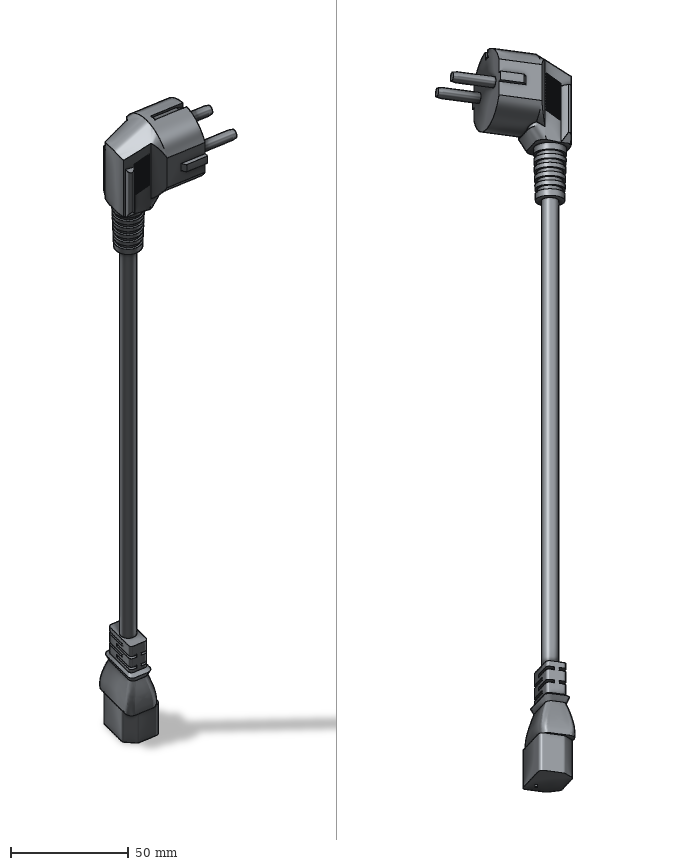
import cadquery as cq
import math


OVERLAP = 1.0

total_top = 332.0
back_y = -7.71

disc_radius = 18.0
disc_z = total_top - disc_radius
disc_half_width = 16.0
front_y = 28.71
disc_back_y = 9.4

rear_drop = 8.5
plug_bottom_z = 291.0
waist_half_width = 9.4
waist_y = 5.6
spine_half_width = 7.3
spine_flat_half_width = 2.6
spine_side_y = -7.0
spine_bulge = 0.72
chin_y = 12.0
chin_bottom_y = 8.5
chin_radius = 4.0

shoulder_half_width = 10.8
shoulder_bottom_z = 295.0
shoulder_top_z = 317.0
shoulder_front_y = -2.0
shoulder_side_y = -4.5
shoulder_back_y = -6.2
shoulder_radius = 1.5
shoulder_taper = 2.5

groove_count = 14
groove_pitch = 1.25
groove_width = 0.6
groove_depth = 0.5
groove_front_y = 4.9
first_groove_z = 304.7

wing_height = 4.0
wing_tip_y = 18.2
wing_root_y = 16.5

pin_diameter = 4.8
pin_spacing = 19.0
pin_length = 19.0
pin_nose_length = 2.0
pin_nose_diameter = 4.0
clip_width = 3.0
clip_back_y = 12.6
clip_nose_y = 25.4
clip_depth = 1.2
clip_thickness = 2.4
clip_nose_drop = 1.9

relief_bottom_z = 267.0
relief_top_radius = 7.1
relief_bottom_radius = 6.3
relief_groove_depth = 1.0
relief_groove_count = 5
relief_groove_width = 2.0
relief_groove_pitch = 4.0
first_relief_groove_z = 288.0

cable_diameter = 7.5

socket_height = 17.2
socket_half_width = 11.6
socket_front_y = 8.7
socket_front_radius = 2.0
socket_key_x = 7.5
socket_key_y = -2.5
socket_key_radius = 2.2
neck_top_z = 52.0
neck_width = 17.4
neck_depth = 9.0
neck_radius = 1.6

hood_sections = (
    (socket_height, 25.4, 15.2, 3.2),
    (24.0, 24.4, 14.4, 3.0),
    (33.3, 19.4, 9.2, 2.5),
)
flange_sections = (
    hood_sections[-1],
    (36.1, 21.4, 11.4, 2.5),
    (37.4, neck_width, neck_depth, neck_radius),
)

neck_bottom_z = hood_sections[-1][0]
slit_count = 4
slit_height = 1.3
slit_pitch = 3.0
top_slit_z = 48.8
slit_end_x = 2.2
slit_web = 2.2
nub_x = 5.0
nub_y = 4.5
nub_radius = 0.6
nub_height = 1.0


def prism_xy(outline, bottom_z, top_z):
    """Closed XY outline extruded from bottom_z to top_z."""
    return cq.Workplane("XY", origin=(0, 0, bottom_z)).polyline(outline).close().extrude(top_z - bottom_z)


def prism_yz(outline, half_width):
    """Closed YZ outline extruded to both sides of x = 0."""
    return cq.Workplane("YZ").polyline(outline).close().extrude(half_width, both=True)


def block(x_range, y_range, z_range):
    """Box given by its limits on each axis."""
    sizes = [high - low for low, high in (x_range, y_range, z_range)]
    corner = (x_range[0], y_range[0], z_range[0])
    return cq.Workplane("XY", origin=corner).box(*sizes, centered=False)


def rod_y(radius, x, z, y_start, y_end):
    """Round rod along Y."""
    return cq.Workplane("XZ", origin=(x, y_start, z)).circle(radius).extrude(y_start - y_end)


def both_sides(solid):
    """The solid joined with its mirror image across x = 0."""
    return solid.union(solid.mirror("YZ"))


def plug_disc():
    disc = rod_y(disc_radius, 0, disc_z, disc_back_y, front_y)
    flats = block(
        (-disc_half_width, disc_half_width), (disc_back_y, front_y), (disc_z - disc_radius, total_top)
    )
    wing_outline = [
        (0, front_y),
        (disc_radius, front_y),
        (disc_radius, wing_tip_y),
        (disc_half_width, wing_root_y),
        (0, wing_root_y),
    ]
    wing = prism_xy(wing_outline, disc_z - wing_height / 2, disc_z + wing_height / 2)
    return disc.intersect(flats.union(both_sides(wing)))


def oblique_top():
    """Slanted cylinder whose upper half forms the rounded, sloping top of the plug rear."""
    start = cq.Workplane("XZ", origin=(0, disc_back_y, disc_z)).circle(disc_radius)
    end = start.workplane(offset=disc_back_y - back_y).center(0, -rear_drop).circle(disc_radius)
    return end.loft(ruled=True)


def chin():
    """Lower half of the plug rear, sloping in from the disc to the flat bottom."""
    outline = [
        (chin_y, disc_z - disc_radius),
        (chin_bottom_y, plug_bottom_z),
        (back_y, plug_bottom_z),
        (back_y, disc_z),
        (chin_y, disc_z),
    ]
    return prism_yz(outline, disc_half_width)


def trunk_prism():
    """Narrow waist tapering to a rounded spine at the back, at full plug height."""
    bulge_x = (spine_half_width + spine_flat_half_width) / 2
    bulge_y = spine_side_y + spine_bulge * (back_y - spine_side_y)
    return (
        cq.Workplane("XY", origin=(0, 0, plug_bottom_z))
        .moveTo(-waist_half_width, chin_y)
        .lineTo(-waist_half_width, waist_y)
        .lineTo(-spine_half_width, spine_side_y)
        .threePointArc((-bulge_x, bulge_y), (-spine_flat_half_width, back_y))
        .lineTo(spine_flat_half_width, back_y)
        .threePointArc((bulge_x, bulge_y), (spine_half_width, spine_side_y))
        .lineTo(waist_half_width, waist_y)
        .lineTo(waist_half_width, chin_y)
        .close()
        .extrude(total_top - plug_bottom_z)
    )


def wedge_prism():
    """Sloping faces that lead from the flats of the disc in to the waist."""
    plan = [
        (-disc_half_width, disc_back_y),
        (-waist_half_width, waist_y),
        (waist_half_width, waist_y),
        (disc_half_width, disc_back_y),
    ]
    return prism_xy(plan, plug_bottom_z, total_top)


def plug_rear():
    trunk = trunk_prism()
    wedge = wedge_prism()
    front_corners = cq.selectors.BoxSelector(
        (-disc_half_width, chin_bottom_y - OVERLAP, plug_bottom_z),
        (disc_half_width, chin_y + OVERLAP, disc_z),
    )
    lower_trunk = trunk.intersect(chin()).edges(front_corners).edges("not #Z").fillet(chin_radius)
    lower_disc = rod_y(disc_radius, 0, disc_z, waist_y, disc_back_y)
    lower_half = block(
        (-disc_radius, disc_radius), (waist_y, disc_back_y), (disc_z - disc_radius, disc_z)
    )
    upper = trunk.union(wedge).intersect(oblique_top())
    return upper.union(lower_trunk).union(wedge.intersect(lower_disc).intersect(lower_half))


def shoulder():
    inner_x = spine_half_width - OVERLAP
    arc_shift = shoulder_radius * (1 - math.sqrt(0.5))
    body = (
        cq.Workplane("XY", origin=(0, 0, plug_bottom_z))
        .moveTo(inner_x, shoulder_front_y)
        .lineTo(spine_half_width + OVERLAP, shoulder_front_y)
        .lineTo(shoulder_half_width, shoulder_side_y)
        .lineTo(shoulder_half_width, shoulder_back_y + shoulder_radius)
        .threePointArc(
            (shoulder_half_width - arc_shift, shoulder_back_y + arc_shift),
            (shoulder_half_width - shoulder_radius, shoulder_back_y),
        )
        .lineTo(inner_x, shoulder_back_y)
        .close()
        .extrude(shoulder_top_z - plug_bottom_z)
    )
    side_outline = [
        (0, plug_bottom_z),
        (shoulder_half_width - shoulder_taper, plug_bottom_z),
        (shoulder_half_width, shoulder_bottom_z),
        (shoulder_half_width, shoulder_top_z),
        (0, shoulder_top_z),
    ]
    limit = cq.Workplane("XZ").polyline(side_outline).close().extrude(-back_y)
    return both_sides(body.intersect(limit))


def grip_grooves():
    """Slanted grooves, parallel to the sloping top, that follow the tapered waist walls."""
    slope = rear_drop / (disc_back_y - back_y)
    taper = (waist_half_width - spine_half_width) / (waist_y - spine_side_y)
    groove_run = groove_front_y - shoulder_front_y
    drop = slope * groove_run
    outer_x = waist_half_width + OVERLAP
    floor_front_x = waist_half_width - taper * (waist_y - groove_front_y) - groove_depth
    floor_back_x = floor_front_x - taper * groove_run
    plan = [
        (outer_x, groove_front_y),
        (floor_front_x, groove_front_y),
        (floor_back_x, shoulder_front_y),
        (outer_x, shoulder_front_y),
    ]
    region = prism_xy(plan, first_groove_z - drop - OVERLAP, total_top)
    grooves = None
    for index in range(groove_count):
        front_z = first_groove_z + index * groove_pitch
        outline = [
            (groove_front_y, front_z),
            (shoulder_front_y, front_z - drop),
            (shoulder_front_y, front_z - drop + groove_width),
            (groove_front_y, front_z + groove_width),
        ]
        groove = prism_yz(outline, outer_x).intersect(region)
        grooves = groove if grooves is None else grooves.union(groove)
    return both_sides(grooves)


def strain_relief():
    length = plug_bottom_z - relief_bottom_z
    shrink = (relief_top_radius - relief_bottom_radius) / length

    def radius_at(z):
        return relief_top_radius - shrink * (plug_bottom_z - z)

    outline = [(0, plug_bottom_z + OVERLAP), (radius_at(plug_bottom_z), plug_bottom_z + OVERLAP)]
    for index in range(relief_groove_count):
        top = first_relief_groove_z - index * relief_groove_pitch
        bottom = top - relief_groove_width
        outline.append((radius_at(top), top))
        outline.append((radius_at(top) - relief_groove_depth, top))
        outline.append((radius_at(bottom) - relief_groove_depth, bottom))
        outline.append((radius_at(bottom), bottom))
    outline.append((relief_bottom_radius, relief_bottom_z))
    outline.append((0, relief_bottom_z))
    return cq.Workplane("XZ").polyline(outline).close().revolve(360, (0, 0, 0), (0, 1, 0))


def clip_slot():
    floor_z = total_top - clip_depth - clip_thickness
    return block(
        (-clip_width / 2, clip_width / 2), (clip_back_y, front_y + OVERLAP), (floor_z, total_top + OVERLAP)
    )


def make_housing():
    body = plug_disc().union(plug_rear()).cut(grip_grooves())
    return body.union(shoulder()).union(strain_relief()).cut(clip_slot())


def make_pin(x):
    nose_y = front_y + pin_length - pin_nose_length
    shank = rod_y(pin_diameter / 2, x, disc_z, front_y, nose_y)
    nose = (
        cq.Workplane("XZ", origin=(x, nose_y, disc_z))
        .circle(pin_diameter / 2)
        .workplane(offset=-pin_nose_length)
        .circle(pin_nose_diameter / 2)
        .loft(ruled=True)
    )
    return shank.union(nose)


def make_earth_clip():
    top_z = total_top - clip_depth
    outline = [
        (clip_back_y, top_z - clip_thickness),
        (clip_back_y, top_z),
        (clip_nose_y, top_z),
        (front_y, top_z - clip_nose_drop),
        (front_y, top_z - clip_thickness),
    ]
    return prism_yz(outline, clip_width / 2)


def make_cable():
    return (
        cq.Workplane("XY", origin=(0, 0, neck_top_z))
        .circle(cable_diameter / 2)
        .extrude(relief_bottom_z - neck_top_z)
    )


def socket_block():
    outline = [
        (-socket_half_width, socket_front_y),
        (-socket_half_width, socket_key_y),
        (-socket_key_x, back_y),
        (socket_key_x, back_y),
        (socket_half_width, socket_key_y),
        (socket_half_width, socket_front_y),
    ]
    body = prism_xy(outline, 0, socket_height)
    body = body.edges("|Z").edges(">Y").fillet(socket_front_radius)
    key_edges = body.edges(
        cq.selectors.BoxSelector(
            (-socket_half_width - OVERLAP, back_y - OVERLAP, 0),
            (socket_half_width + OVERLAP, socket_key_y + OVERLAP / 2, socket_height),
        )
    ).edges("|Z")
    return key_edges.fillet(socket_key_radius)


def sleeve(sections, ruled):
    """Loft through rounded rectangles centred on the cable axis."""
    outlines = []
    for height, width, depth, radius in sections:
        outline = cq.Sketch().rect(width, depth).vertices().fillet(radius)
        outlines.append(outline.moved(cq.Location(cq.Vector(0, 0, height))))
    return cq.Workplane("XY").placeSketch(*outlines).loft(ruled=ruled)


def neck():
    """Flat neck with slits cut alternately from the left and the right."""
    base = cq.Workplane("XY", origin=(0, 0, neck_bottom_z)).rect(neck_width, neck_depth)
    body = base.extrude(neck_top_z - neck_bottom_z).edges("|Z").fillet(neck_radius)
    for index in range(slit_count):
        middle_z = top_slit_z - index * slit_pitch
        side = -1 if index % 2 == 0 else 1
        x_range = sorted((side * neck_width, -side * slit_end_x))
        z_range = (middle_z - slit_height / 2, middle_z + slit_height / 2)
        body = body.cut(block(x_range, (slit_web / 2, neck_depth), z_range))
        body = body.cut(block(x_range, (-neck_depth, -slit_web / 2), z_range))
    return body


def make_connector():
    nub = cq.Workplane("XY", origin=(nub_x, nub_y, 0)).circle(nub_radius).extrude(-nub_height)
    hood = sleeve(hood_sections, ruled=False)
    flange = sleeve(flange_sections, ruled=True)
    return socket_block().union(hood).union(flange).union(neck()).union(nub)


housing = make_housing()
pins = [make_pin(side * pin_spacing / 2) for side in (-1, 1)]
earth_clip = make_earth_clip()
cable = make_cable()
connector = make_connector()

result = cq.Compound.makeCompound(
    [
        housing.val(),
        *[pin.val() for pin in pins],
        earth_clip.val(),
        cable.val(),
        connector.val(),
    ]
)